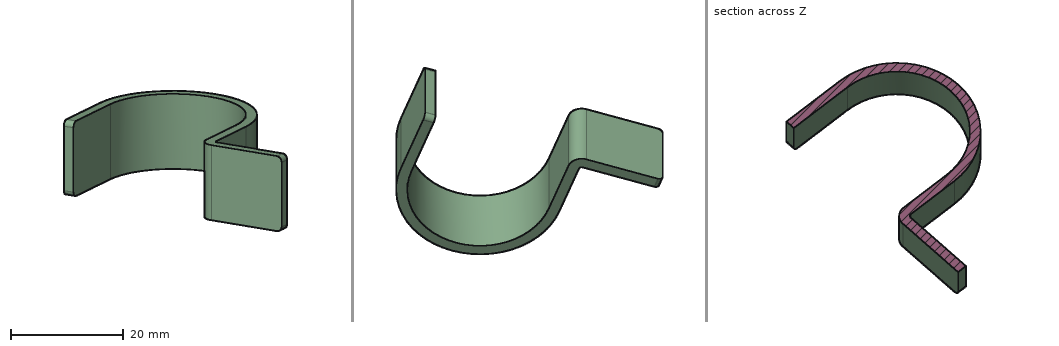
import cadquery as cq
import math

strip_width = 14.0
thickness = 2.0
outer_radius = 15.0
leg_length = 13.0
overall_length = 45.0
bend_inner_radius = 0.5
corner_radius = 1.0

inner_radius = outer_radius - thickness
bend_outer_radius = bend_inner_radius + thickness
foot_y = -leg_length
flange_top_y = foot_y + thickness
flange_end_x = overall_length - outer_radius
bend_x = inner_radius + bend_outer_radius
bend_y = foot_y + bend_outer_radius
diagonal = math.sqrt(0.5)


def make_strip():
    """Bent strip: free leg, half-round saddle, second leg and flange."""
    outer_bend_mid = (bend_x - bend_outer_radius * diagonal, bend_y - bend_outer_radius * diagonal)
    inner_bend_mid = (bend_x - bend_inner_radius * diagonal, bend_y - bend_inner_radius * diagonal)
    profile = (
        cq.Workplane("XY")
        .moveTo(-outer_radius, foot_y)
        .lineTo(-outer_radius, 0)
        .threePointArc((0, outer_radius), (outer_radius, 0))
        .lineTo(outer_radius, bend_y)
        .threePointArc(inner_bend_mid, (bend_x, flange_top_y))
        .lineTo(flange_end_x, flange_top_y)
        .lineTo(flange_end_x, foot_y)
        .lineTo(bend_x, foot_y)
        .threePointArc(outer_bend_mid, (inner_radius, bend_y))
        .lineTo(inner_radius, 0)
        .threePointArc((0, inner_radius), (-inner_radius, 0))
        .lineTo(-inner_radius, foot_y)
        .close()
    )
    return profile.extrude(strip_width / 2, both=True)


def round_free_leg_corners(strip):
    """Round the two corners at the -Y end of the free leg."""
    free_leg_region = cq.selectors.BoxSelector(
        (-outer_radius - thickness, foot_y - thickness, -strip_width),
        (0, foot_y + thickness, strip_width),
    )
    free_leg_end = strip.edges("|X").edges(free_leg_region)
    return free_leg_end.fillet(corner_radius)


def round_flange_corners(strip):
    """Round the two corners at the +X tip of the flange."""
    return strip.faces(">X").edges("|Y").fillet(corner_radius)


result = round_flange_corners(round_free_leg_corners(make_strip()))